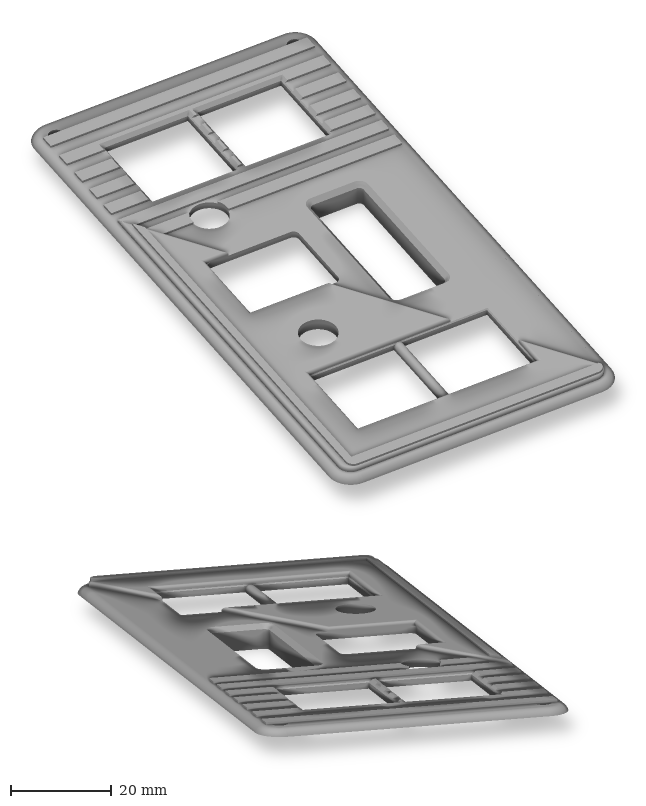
import cadquery as cq
import math

length = 125.8
width = 64.9
corner_radius = 5.0
plate_top = 1.5
edge_radius = 2.0

layer_step = 0.5
stripe_top = plate_top + layer_step
slab_top = stripe_top + layer_step
rim_top = slab_top + layer_step
slab_round = 0.6
layer_margin = 0.1
layer_x = length / 2 - edge_radius - layer_margin
layer_y = width / 2 - edge_radius - layer_margin
layer_corner = corner_radius - edge_radius - layer_margin

stripe_count = 7
stripe_width = 3.0
first_stripe_x = -58.1
first_gap = 3.3
gap_shrink = 0.23

slab_tip_x = -28.7
slab_peak_x = 57.9
rim_side_inset = 0.5
rim_side_width = 2.4
rim_front_inset = 1.4
rim_front_width = 1.6
rim_corner = 1.8

screw_hole_diameter = 3.4
knob_hole_diameter = 8.0
knob_x = 21.4
knob_y = -13.6

key_width = 19.0
key_height = 19.2
key_x = 40.5
key_y_centers = (9.9, -11.5)
key_bevel = 0.3
bar_round = 1.0

display_width = 17.9
display_height = 20.9
display_y = key_y_centers[1]
display_corner = 1.3

screen_width = 33.7
screen_height = 12.0
screen_x = 2.0
screen_y = 11.5
screen_corner = 1.0
collar_wall = 1.0
collar_depth = 3.5


def box(x_size, y_size, bottom, top, x=0.0, y=0.0):
    """Rectangular block centred on (x, y) between two heights."""
    return cq.Workplane("XY", origin=(x, y, bottom)).rect(x_size, y_size).extrude(top - bottom)


def flared_cut(x_size, y_size, bottom, top, x, y):
    """Cutter whose four sides lean outward at 45 degrees from bottom to top."""
    growth = 2 * (top - bottom)
    return (
        cq.Workplane("XY", origin=(x, y, bottom))
        .rect(x_size, y_size)
        .workplane(offset=top - bottom)
        .rect(x_size + growth, y_size + growth)
        .loft(ruled=True)
    )


def make_plate():
    """Rounded plate; its edge arc is cut off by the underside just above its vertical end.

    The two screw holes sit at the centres of the left corner arcs.
    """
    buried = edge_radius - plate_top
    overhang = edge_radius - math.sqrt(edge_radius**2 - buried**2)
    blank = box(length + 2 * overhang, width + 2 * overhang, -edge_radius, plate_top)
    blank = blank.edges("|Z").fillet(corner_radius + overhang)
    blank = blank.faces(">Z").edges().fillet(edge_radius)
    plate = blank.intersect(box(2 * length, 2 * width, 0, plate_top))
    hole_x = corner_radius - length / 2
    hole_y = width / 2 - corner_radius
    holes = (
        cq.Workplane("XY")
        .pushPoints([(hole_x, -hole_y), (hole_x, hole_y)])
        .circle(screw_hole_diameter / 2)
        .extrude(plate_top)
    )
    return plate.cut(holes)


def make_stripes():
    """Raised bars with steadily shrinking gaps; the first one fills half of each screw hole."""
    stripes = cq.Workplane("XY")
    left = first_stripe_x
    gap = first_gap
    for _ in range(stripe_count):
        middle = left + stripe_width / 2
        stripes = stripes.union(box(stripe_width, 2 * layer_y, 0, stripe_top, middle))
        left += stripe_width + gap
        gap -= gap_shrink
    return stripes


def right_of_diagonal(bottom, top, setback=0.0):
    """Prism covering everything right of and below the diagonal, moved right by the setback."""
    return (
        cq.Workplane("XY", origin=(0, 0, bottom))
        .moveTo(slab_tip_x + setback, -layer_y)
        .lineTo(layer_x, -layer_y)
        .lineTo(layer_x, layer_y)
        .lineTo(slab_peak_x + setback, layer_y)
        .close()
        .extrude(top - bottom)
    )


def make_slab():
    """Round-edged slab with roomy cut-outs around the right keys and the display."""
    outline = box(2 * layer_x, 2 * layer_y, plate_top, slab_top).edges("|Z").fillet(layer_corner)
    slab = outline.intersect(right_of_diagonal(plate_top, slab_top))
    key_room = key_width + 2 * key_bevel
    key_span = key_y_centers[0] - key_y_centers[1] + key_height + 2 * key_bevel
    key_middle = (key_y_centers[0] + key_y_centers[1]) / 2
    slab = slab.cut(box(key_room, key_span, plate_top, slab_top, key_x, key_middle))
    slab = slab.cut(box(display_width, display_height, plate_top, slab_top, 0, display_y))
    return slab.faces(">Z").edges().fillet(slab_round)


def make_rim():
    """L-shaped rim on the slab, along the front and the right side."""
    right = layer_x - rim_side_inset
    front = -layer_y + rim_front_inset
    back = layer_y - rim_side_inset
    outer = box(2 * right, back - front, slab_top, rim_top, 0, (back + front) / 2)
    outer = outer.edges("|Z").fillet(rim_corner)
    inner_right = right - rim_side_width
    inner_front = front + rim_front_width
    inner = box(2 * inner_right, 2 * layer_y, slab_top, rim_top, 0, inner_front + layer_y)
    round_setback = slab_round * math.hypot(slab_peak_x - slab_tip_x, 2 * layer_y) / (2 * layer_y)
    return outer.cut(inner).intersect(right_of_diagonal(slab_top, rim_top, round_setback))


def cut_left_keys(body):
    """Two key openings whose upper edges flare out through the stripes."""
    flare_bottom = plate_top - key_bevel
    for y in key_y_centers:
        body = body.cut(box(key_width, key_height, 0, plate_top, -key_x, y))
        body = body.cut(flared_cut(key_width, key_height, flare_bottom, stripe_top, -key_x, y))
    return body


def cut_right_keys(body):
    """One tall opening for both right keys, divided again by a bar with a rounded top."""
    upper_y, lower_y = key_y_centers
    middle = (upper_y + lower_y) / 2
    pitch = upper_y - lower_y
    body = body.cut(box(key_width, pitch + key_height, 0, plate_top, key_x, middle))
    flare_bottom = plate_top - key_bevel
    body = body.cut(flared_cut(key_width, pitch + key_height, flare_bottom, plate_top, key_x, middle))
    bar_length = key_width + 2 * key_bevel
    bar = box(bar_length, pitch - key_height, 0, plate_top, key_x, middle)
    return body.union(bar.edges("|X and >Z").fillet(bar_round))


def cut_display(body):
    """Rounded display window through the plate."""
    window = box(display_width, display_height, 0, plate_top, 0, display_y)
    return body.cut(window.edges("|Z").fillet(display_corner))


def cut_knobs(body):
    """Two round holes through every layer."""
    holes = (
        cq.Workplane("XY")
        .pushPoints([(-knob_x, knob_y), (knob_x, knob_y)])
        .circle(knob_hole_diameter / 2)
        .extrude(rim_top)
    )
    return body.cut(holes)


def add_screen_collar(body):
    """Hanging collar around the screen opening, which is bevelled by the collar wall at the top."""
    outer_width = screen_width + 2 * collar_wall
    outer_height = screen_height + 2 * collar_wall
    body = body.union(box(outer_width, outer_height, -collar_depth, 0, screen_x, screen_y))
    opening = box(screen_width, screen_height, -collar_depth, plate_top, screen_x, screen_y)
    opening = opening.edges("|Z").fillet(screen_corner)
    flare_bottom = cq.Sketch().rect(screen_width, screen_height).vertices().fillet(screen_corner)
    mouth_corner = screen_corner + collar_wall
    flare_mouth = cq.Sketch().rect(outer_width, outer_height).vertices().fillet(mouth_corner)
    flare = (
        cq.Workplane("XY", origin=(screen_x, screen_y, plate_top - collar_wall))
        .placeSketch(flare_bottom, flare_mouth.moved(cq.Location(cq.Vector(0, 0, collar_wall))))
        .loft()
    )
    return body.cut(opening).cut(flare)


result = make_plate().union(make_stripes()).union(make_slab()).union(make_rim())
result = cut_left_keys(result)
result = cut_right_keys(result)
result = cut_display(result)
result = cut_knobs(result)
result = add_screen_collar(result)